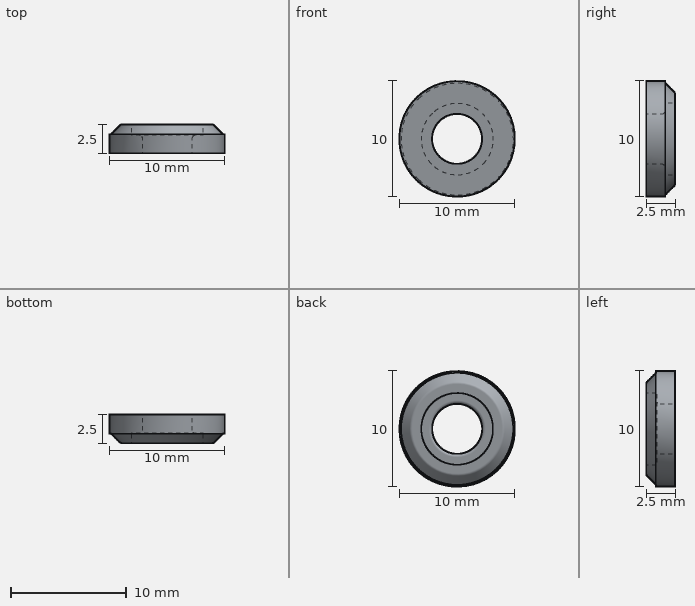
import cadquery as cq

outer_radius = 5.0
bore_radius = 2.15
thickness = 2.5
rim_height = 1.66
ledge_width = 0.16
counterbore_radius = 3.1
counterbore_floor = 1.6
edge_radius = 0.3
margin = 0.01

cone_base_radius = outer_radius - ledge_width
cone_top_radius = cone_base_radius - (thickness - rim_height)

section = (
    cq.Workplane("XY")
    .moveTo(bore_radius, 0)
    .lineTo(outer_radius, 0)
    .lineTo(outer_radius, rim_height)
    .lineTo(cone_base_radius, rim_height)
    .lineTo(cone_top_radius, thickness)
    .lineTo(counterbore_radius, thickness)
    .lineTo(counterbore_radius, counterbore_floor)
    .lineTo(bore_radius, counterbore_floor)
    .close()
)
washer = section.revolve(360, (0, 0, 0), (0, 1, 0))

rounded_edges = [
    (cone_top_radius, thickness),
    (bore_radius, counterbore_floor),
]
for radius, height in rounded_edges:
    corner = cq.selectors.BoxSelector(
        (-radius - margin, height - margin, -radius - margin),
        (radius + margin, height + margin, radius + margin),
        boundingbox=True,
    )
    circle = washer.edges(corner).edges("%CIRCLE").edges(cq.selectors.RadiusNthSelector(-1))
    washer = circle.fillet(edge_radius)

result = washer